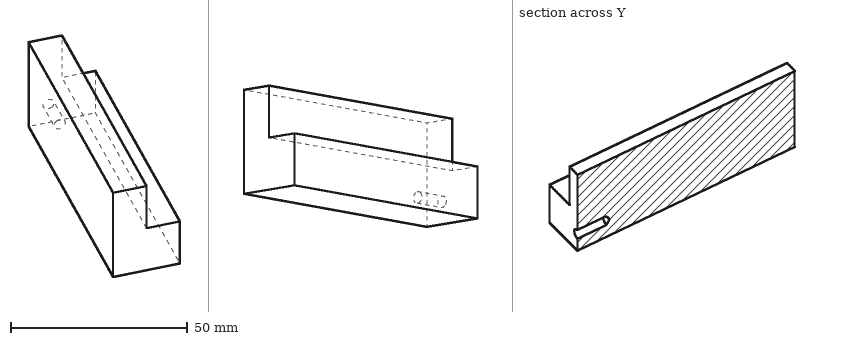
import cadquery as cq
import math

length = 75.0
depth = 20.0
height = 30.0
wall_thickness = depth / 2
ledge_height = height / 2

hole_diameter = 3.3
hole_from_front = 6.0
hole_from_bottom = 6.5
hole_depth = 10.0
drill_point_angle = 118.0


def l_bar():
    """L-section with its front bottom edge on the X axis, extruded along +X."""
    return (
        cq.Workplane("YZ")
        .moveTo(0, 0)
        .lineTo(depth, 0)
        .lineTo(depth, ledge_height)
        .lineTo(wall_thickness, ledge_height)
        .lineTo(wall_thickness, height)
        .lineTo(0, height)
        .close()
        .extrude(length)
    )


def drilled_hole():
    """Drill shape along +X: a straight bore that ends in a conical point."""
    radius = hole_diameter / 2
    point_length = radius / math.tan(math.radians(drill_point_angle / 2))
    return (
        cq.Workplane("XY")
        .moveTo(0, 0)
        .lineTo(0, radius)
        .lineTo(hole_depth, radius)
        .lineTo(hole_depth + point_length, 0)
        .close()
        .revolve(360, (0, 0, 0), (1, 0, 0))
        .translate((0, hole_from_front, hole_from_bottom))
    )


result = l_bar().cut(drilled_hole())